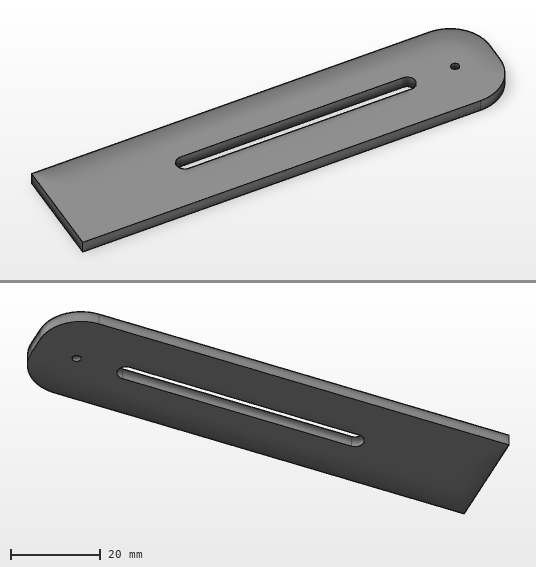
import cadquery as cq

width = 25.0
length = 110.0
thickness = 3.0
corner_radius = 10.0

hole_diameter = 2.0
hole_from_end = corner_radius

slot_width = 4.1
slot_length = 60.0
slot_from_end = 2 * hole_from_end

rounded_end_y = length / 2
hole_y = rounded_end_y - hole_from_end
slot_y = rounded_end_y - slot_from_end - slot_length / 2

plate = (
    cq.Workplane("XY")
    .box(width, length, thickness)
    .edges("|Z and >Y")
    .fillet(corner_radius)
)

hole = cq.Workplane("XY").center(0, hole_y).circle(hole_diameter / 2).extrude(thickness, both=True)
slot = (
    cq.Workplane("XY")
    .center(0, slot_y)
    .slot2D(slot_length, slot_width, angle=90)
    .extrude(thickness, both=True)
)

result = plate.cut(hole).cut(slot)